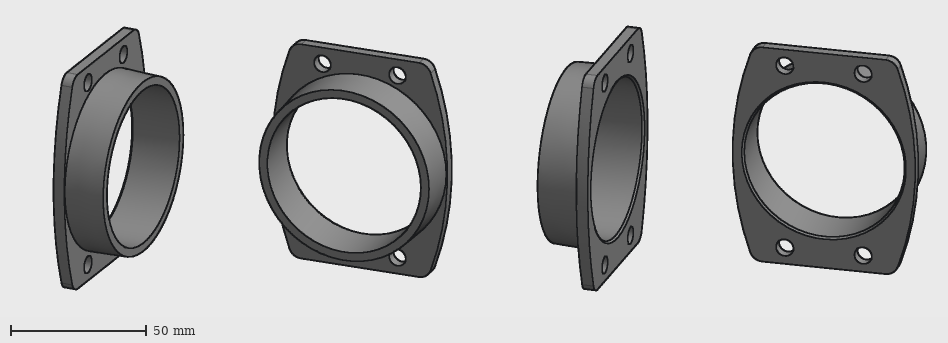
import cadquery as cq
import math

plate_thickness = 4.5
plate_width = 70.0
plate_height = 86.0
side_arc_radius = 120.0
corner_radius = 5.0

total_length = 20.0
spigot_tip_diameter = 68.0
spigot_draft_angle = 2.0

bore_diameter = 61.38
bore_chamfer = 0.8

hole_diameter = 6.6
hole_spacing_y = 30.0
hole_spacing_z = 73.0


def make_flange():
    """Plate with bowed sides, flat ends and rounded corners."""
    half_width = plate_width / 2
    half_height = plate_height / 2
    side_bow = side_arc_radius - math.sqrt(side_arc_radius**2 - half_height**2)
    end_half_width = half_width - side_bow
    return (
        cq.Workplane("YZ")
        .moveTo(-end_half_width, half_height)
        .lineTo(end_half_width, half_height)
        .threePointArc((half_width, 0), (end_half_width, -half_height))
        .lineTo(-end_half_width, -half_height)
        .threePointArc((-half_width, 0), (-end_half_width, half_height))
        .close()
        .extrude(plate_thickness)
        .edges("|X")
        .fillet(corner_radius)
    )


def make_spigot():
    """Solid cone frustum narrowing away from the flange."""
    spigot_length = total_length - plate_thickness
    tip_radius = spigot_tip_diameter / 2
    base_radius = tip_radius + spigot_length * math.tan(math.radians(spigot_draft_angle))
    return (
        cq.Workplane("YZ", origin=(plate_thickness, 0, 0))
        .circle(base_radius)
        .workplane(offset=spigot_length)
        .circle(tip_radius)
        .loft()
    )


def make_bore():
    """Cutter for the bore and its conical lead-in, revolved about the X axis."""
    bore_radius = bore_diameter / 2
    return (
        cq.Workplane("XY")
        .moveTo(0, 0)
        .lineTo(0, bore_radius + bore_chamfer)
        .lineTo(bore_chamfer, bore_radius)
        .lineTo(total_length, bore_radius)
        .lineTo(total_length, 0)
        .close()
        .revolve(360, (0, 0, 0), (1, 0, 0))
    )


def make_mounting_holes():
    """Cutters for the four holes through the flange."""
    return (
        cq.Workplane("YZ")
        .rarray(hole_spacing_y, hole_spacing_z, 2, 2)
        .circle(hole_diameter / 2)
        .extrude(plate_thickness)
    )


body = make_flange().union(make_spigot())
result = body.cut(make_bore()).cut(make_mounting_holes())